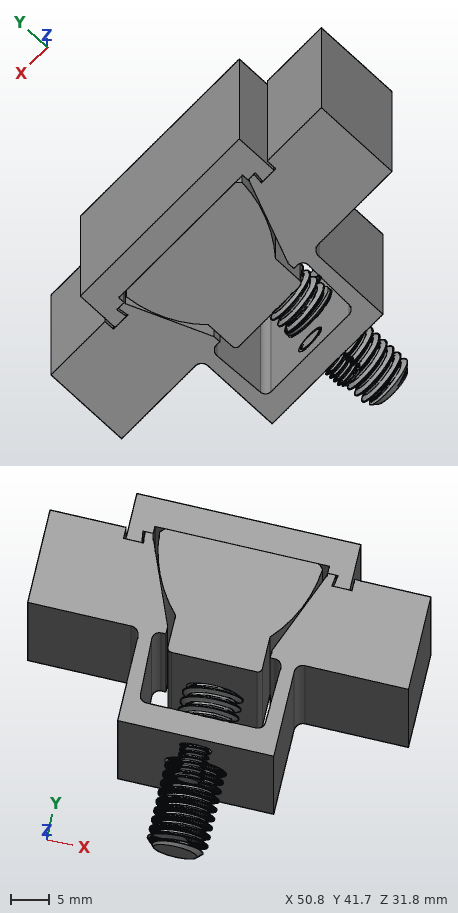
import cadquery as cq
import math


LENGTH = 31.75

FLANGE_WIDTH = 50.8
HOUSING_DEPTH = 25.4
FLANGE_FACE_Y = HOUSING_DEPTH / 2
BOX_WIDTH = 20.85
BOX_CORNER_RADIUS = 1.15
WALL = 3.15
CAVITY_TOP_WIDTH = 17.25
CAVITY_FLOOR_WIDTH = 16.55
CAVITY_RADIUS = 1.0
NECK_WIDTH = 13.9
NECK_HEIGHT = 1.0
MOUTH_WIDTH = 23.25
MOUTH_STRAIGHT = 0.25

GROOVE_DEPTH = 1.5
GROOVE_OUTER_WIDTH = 30.5
LIP_TOP_WIDTH = 25.5
LIP_BASE_WIDTH = 25.1
COVER_WIDTH = 29.85
COVER_BACK_Y = 30.1
HOOK_GAP = 0.25
POCKET_DEPTH = 0.95

WEDGE_BACK_Y = HOUSING_DEPTH + POCKET_DEPTH
WEDGE_FRONT_Y = 10.45
WEDGE_WIDTH = 21.75
WEDGE_FOOT_WIDTH = 12.6
WEDGE_CORNER = 0.6
FLANK_END_Y = 15.4
FLANK_BULGE = 0.95

MAIN_DIAMETER = 8.0
MAIN_TIP_Y = -11.6
MAIN_LENGTH = WEDGE_FRONT_Y - MAIN_TIP_Y
MAIN_TURNS = 17.6
MAIN_PITCH = MAIN_LENGTH / MAIN_TURNS
MAIN_TIP_CHAMFER = 1.05
MAIN_CREST_ANGLE = 251.0
COLLAR_DIAMETER = 8.15
COLLAR_LENGTH = 0.6
COLLAR_CHAMFER = 0.25
SET_DIAMETER = 4.0
SET_TIP_Y = -4.4
SET_LENGTH = WALL - SET_TIP_Y
SET_TURNS = 10.8
SET_PITCH = SET_LENGTH / SET_TURNS
SET_TIP_CHAMFER = 0.5
SET_CREST_ANGLE = 72.0
SET_OFFSET_Z = 10.35
HOLE_CLEARANCE = 0.25

THREAD_DEPTH_RATIO = 0.61
CREST_FLAT_RATIO = 1 / 8
ROOT_FLAT_RATIO = 1 / 4


def extrude_half_outline(wire):
    """Close a +X half outline on the Y axis, mirror it and extrude it along Z."""
    half = wire.close().extrude(LENGTH / 2, both=True)
    return half.union(half.mirror("YZ")).clean()


def cavity_cutter():
    """Through slot: box cavity with draft, narrow neck and tapered mouth."""
    cavity = (
        cq.Workplane("XY")
        .polyline([
            (-CAVITY_FLOOR_WIDTH / 2, WALL),
            (CAVITY_FLOOR_WIDTH / 2, WALL),
            (CAVITY_TOP_WIDTH / 2, FLANGE_FACE_Y),
            (-CAVITY_TOP_WIDTH / 2, FLANGE_FACE_Y),
        ])
        .close()
        .extrude(LENGTH / 2, both=True)
        .edges("|Z")
        .fillet(CAVITY_RADIUS)
    )
    mouth = extrude_half_outline(
        cq.Workplane("XY")
        .moveTo(0, WALL + CAVITY_RADIUS)
        .lineTo(NECK_WIDTH / 2, WALL + CAVITY_RADIUS)
        .lineTo(NECK_WIDTH / 2, FLANGE_FACE_Y + NECK_HEIGHT)
        .lineTo(MOUTH_WIDTH / 2, HOUSING_DEPTH - MOUTH_STRAIGHT)
        .lineTo(MOUTH_WIDTH / 2, HOUSING_DEPTH)
        .lineTo(0, HOUSING_DEPTH)
    )
    return cavity.union(mouth)


def groove_cutter():
    """Undercut groove in the +X flange, beside the mouth."""
    groove_floor_y = HOUSING_DEPTH - GROOVE_DEPTH
    return (
        cq.Workplane("XY")
        .polyline([
            (LIP_TOP_WIDTH / 2, HOUSING_DEPTH),
            (LIP_BASE_WIDTH / 2, groove_floor_y),
            (GROOVE_OUTER_WIDTH / 2, groove_floor_y),
            (GROOVE_OUTER_WIDTH / 2, HOUSING_DEPTH),
        ])
        .close()
        .extrude(LENGTH / 2, both=True)
    )


def screw_hole(diameter, z):
    """Clearance hole through the wall behind the front face."""
    return cq.Workplane("XZ").center(0, z).circle((diameter + HOLE_CLEARANCE) / 2).extrude(-WALL)


def make_housing():
    body = extrude_half_outline(
        cq.Workplane("XY")
        .lineTo(BOX_WIDTH / 2, 0)
        .lineTo(BOX_WIDTH / 2, FLANGE_FACE_Y - BOX_CORNER_RADIUS)
        .radiusArc((BOX_WIDTH / 2 + BOX_CORNER_RADIUS, FLANGE_FACE_Y), BOX_CORNER_RADIUS)
        .lineTo(FLANGE_WIDTH / 2, FLANGE_FACE_Y)
        .lineTo(FLANGE_WIDTH / 2, HOUSING_DEPTH)
        .lineTo(0, HOUSING_DEPTH)
    )
    groove = groove_cutter()
    body = body.cut(cavity_cutter()).cut(groove).cut(groove.mirror("YZ"))
    body = body.cut(screw_hole(MAIN_DIAMETER, 0))
    for z in (-SET_OFFSET_Z, SET_OFFSET_Z):
        body = body.cut(screw_hole(SET_DIAMETER, z))
    return body


def make_cover():
    """Flat cover whose hooks drop into the flange grooves."""
    return extrude_half_outline(
        cq.Workplane("XY")
        .moveTo(0, COVER_BACK_Y)
        .lineTo(COVER_WIDTH / 2, COVER_BACK_Y)
        .lineTo(COVER_WIDTH / 2, HOUSING_DEPTH - GROOVE_DEPTH)
        .lineTo(LIP_BASE_WIDTH / 2 + HOOK_GAP, HOUSING_DEPTH - GROOVE_DEPTH)
        .lineTo(LIP_TOP_WIDTH / 2 + HOOK_GAP, HOUSING_DEPTH)
        .lineTo(MOUTH_WIDTH / 2, HOUSING_DEPTH)
        .lineTo(MOUTH_WIDTH / 2, HOUSING_DEPTH + POCKET_DEPTH)
        .lineTo(0, HOUSING_DEPTH + POCKET_DEPTH)
    )


def make_wedge():
    wedge = extrude_half_outline(
        cq.Workplane("XY")
        .moveTo(0, WEDGE_FRONT_Y)
        .lineTo(WEDGE_FOOT_WIDTH / 2, WEDGE_FRONT_Y)
        .lineTo(WEDGE_FOOT_WIDTH / 2, FLANK_END_Y)
        .sagittaArc((WEDGE_WIDTH / 2, WEDGE_BACK_Y - WEDGE_CORNER), -FLANK_BULGE)
        .lineTo(WEDGE_WIDTH / 2 - WEDGE_CORNER, WEDGE_BACK_Y)
        .lineTo(0, WEDGE_BACK_Y)
    )
    return wedge.faces("<Y").edges("|Z").fillet(WEDGE_CORNER)


def polar(radius, degrees):
    angle = math.radians(degrees)
    return (radius * math.cos(angle), radius * math.sin(angle))


def threaded_rod(diameter, pitch, length, crest_angle):
    """Right-hand threaded rod along +Z, made by twisting its cross-section through one turn per pitch.

    Across the axis, the flats and flanks of the thread are arcs around one full turn.
    """
    crest_radius = diameter / 2
    root_radius = crest_radius - THREAD_DEPTH_RATIO * pitch
    crest_half = 360 * CREST_FLAT_RATIO / 2
    root_start = 180 - 360 * ROOT_FLAT_RATIO / 2
    flank_radius = (crest_radius + root_radius) / 2
    flank_angle = (crest_half + root_start) / 2
    return (
        cq.Workplane("XY")
        .moveTo(*polar(crest_radius, -crest_half))
        .threePointArc((crest_radius, 0), polar(crest_radius, crest_half))
        .threePointArc(polar(flank_radius, flank_angle), polar(root_radius, root_start))
        .threePointArc((-root_radius, 0), polar(root_radius, -root_start))
        .threePointArc(polar(flank_radius, -flank_angle), polar(crest_radius, -crest_half))
        .close()
        .twistExtrude(length, 360 * length / pitch)
        .rotate((0, 0, 0), (0, 0, 1), crest_angle)
    )


def chamfered_envelope(diameter, length, chamfer):
    """Cylinder wider than the thread, ending in a 45 degree cone that trims the tip."""
    tip_radius = diameter / 2 - chamfer
    return (
        cq.Workplane("XZ")
        .polyline([
            (0, 0),
            (diameter, 0),
            (diameter, length - (diameter - tip_radius)),
            (tip_radius, length),
            (0, length),
        ])
        .close()
        .revolve(360, (0, 0, 0), (0, 1, 0))
    )


def point_to_front(screw, start_y):
    """Turn a screw from +Z to -Y, with its start at start_y."""
    return screw.rotate((0, 0, 0), (1, 0, 0), 90).translate((0, start_y, 0))


def make_main_screw():
    """Screw that starts on the wedge and has a collar against the floor of the cavity."""
    rod = threaded_rod(MAIN_DIAMETER, MAIN_PITCH, MAIN_LENGTH, MAIN_CREST_ANGLE)
    rod = rod.intersect(chamfered_envelope(MAIN_DIAMETER, MAIN_LENGTH, MAIN_TIP_CHAMFER), clean=False)
    collar_start = WEDGE_FRONT_Y - WALL - COLLAR_LENGTH
    collar = (
        cq.Workplane("XY")
        .workplane(offset=collar_start)
        .circle(COLLAR_DIAMETER / 2)
        .extrude(COLLAR_LENGTH)
        .faces(">Z")
        .chamfer(COLLAR_CHAMFER)
    )
    return point_to_front(rod.union(collar, clean=False), WEDGE_FRONT_Y)


def make_set_screw():
    """Set screw flush with the floor of the cavity."""
    rod = threaded_rod(SET_DIAMETER, SET_PITCH, SET_LENGTH, SET_CREST_ANGLE)
    rod = rod.intersect(chamfered_envelope(SET_DIAMETER, SET_LENGTH, SET_TIP_CHAMFER), clean=False)
    return point_to_front(rod, WALL)


housing = make_housing()
cover = make_cover()
wedge = make_wedge()
main_screw = make_main_screw()
set_screw = make_set_screw()
set_screws = []
for z in (-SET_OFFSET_Z, SET_OFFSET_Z):
    set_screws.append(set_screw.translate((0, 0, z)).solids().val().copy())

result = cq.Compound.makeCompound([
    housing.solids().val(),
    cover.solids().val(),
    wedge.solids().val(),
    main_screw.solids().val(),
    *set_screws,
])